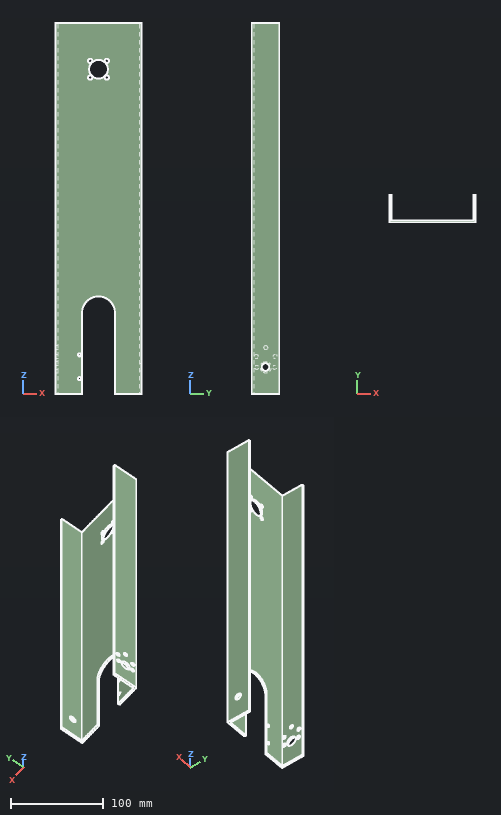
import cadquery as cq

width = 93.0
depth = 30.0
height = 400.0
thickness = 2.5

slot_width = 35.0
slot_height = 105.0

opening_diameter = 20.0
opening_z = 350.0
opening_screw_diameter = 4.5
opening_screw_pitch = 18.0

edge_hole_diameter = 3.0
edge_hole_x = -20.5
edge_hole_heights = (17.0, 42.5)

shaft_z = 29.0
left_shaft_diameter = 12.0
right_shaft_diameter = 8.0

flange_screw_diameter = 4.5
lower_screw_pitch = 19.0
upper_screw_pitch = 20.5
upper_screw_z = 41.0
top_screw_z = 50.5

flange_center_y = depth / 2
left_x = -width / 2
right_x = width / 2 - thickness


def make_channel():
    outer = cq.Workplane("XY").box(width, depth, height, centered=(True, False, False))
    inner = (
        cq.Workplane("XY")
        .box(width - 2 * thickness, depth - thickness, height, centered=(True, False, False))
        .translate((0, thickness, 0))
    )
    return outer.cut(inner)


def web_hole(x, z, diameter):
    """Cylinder through the web along Y."""
    return cq.Workplane(cq.Solid.makeCylinder(
        diameter / 2, thickness, cq.Vector(x, 0, z), cq.Vector(0, 1, 0)))


def flange_hole(start_x, y, z, diameter):
    """Cylinder through one flange along X, starting at the given face."""
    return cq.Workplane(cq.Solid.makeCylinder(
        diameter / 2, thickness, cq.Vector(start_x, y, z), cq.Vector(1, 0, 0)))


def make_slot():
    radius = slot_width / 2
    straight_height = slot_height - radius
    straight = cq.Workplane("XY").box(
        slot_width, thickness, straight_height, centered=(True, False, False))
    return straight.union(web_hole(0, straight_height, slot_width))


result = make_channel().cut(make_slot())

result = result.cut(web_hole(0, opening_z, opening_diameter))
for x_side in (-1, 1):
    for z_side in (-1, 1):
        screw_x = x_side * opening_screw_pitch / 2
        screw_z = opening_z + z_side * opening_screw_pitch / 2
        result = result.cut(web_hole(screw_x, screw_z, opening_screw_diameter))

for hole_z in edge_hole_heights:
    result = result.cut(web_hole(edge_hole_x, hole_z, edge_hole_diameter))

result = result.cut(flange_hole(left_x, flange_center_y, shaft_z, left_shaft_diameter))
result = result.cut(flange_hole(right_x, flange_center_y, shaft_z, right_shaft_diameter))

for pitch, screw_z in ((lower_screw_pitch, shaft_z), (upper_screw_pitch, upper_screw_z)):
    for side in (-1, 1):
        screw_y = flange_center_y + side * pitch / 2
        result = result.cut(flange_hole(left_x, screw_y, screw_z, flange_screw_diameter))
result = result.cut(flange_hole(left_x, flange_center_y, top_screw_z, flange_screw_diameter))